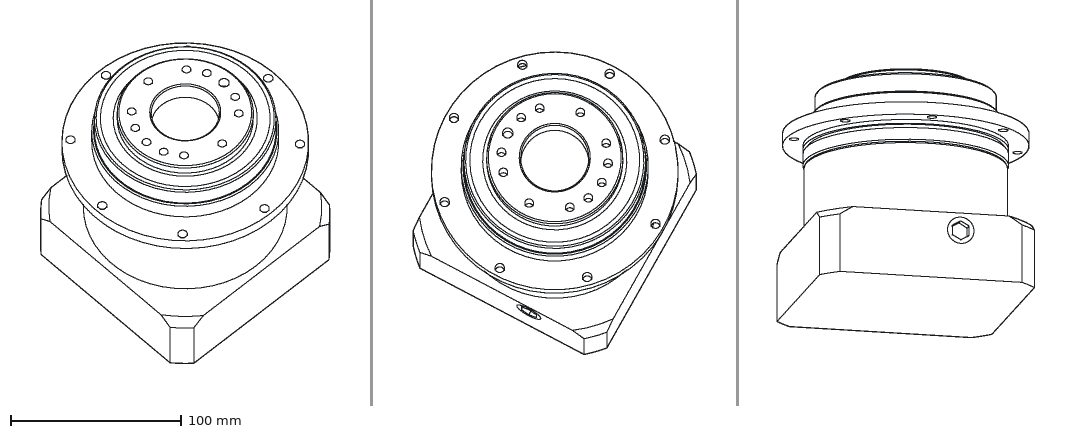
import cadquery as cq
import math

BASE_SIDE = 129.6
BASE_HEIGHT = 39.9
CORNER_RADIUS = 85.0
CORNER_BEVEL_DROP = 5.0
CORNER_BEVEL_TOP_RADIUS = 80.2

BODY_RADIUS = 59.9
BODY_TOP = 82.5
COLLAR_RADIUS = 60.5
COLLAR_BOTTOM = 84.4
RELIEF_RADIUS = 59.5
RING_GROOVE_RADIUS = 58.3
RING_GROOVE_BOTTOM = 91.5
RING_GROOVE_TOP = 94.1
FLANGE_RADIUS = 72.5
FLANGE_BOTTOM = 96.4
FLANGE_TOP = 104.0
PILOT_RADIUS = 55.0
PILOT_TOP = 115.4
PILOT_CHAMFER = 1.0
NOSE_RADIUS = 53.4
NOSE_TOP = 127.0
NOSE_CHAMFER = 1.0

BOSS_RADIUS = 40.0
BOSS_TOP = 133.0
BOSS_CHAMFER = 1.0
BORE_RADIUS = 20.0
BORE_DEPTH = 12.0
BORE_CHAMFER = 0.9

FLANGE_HOLE_COUNT = 8
FLANGE_HOLE_DIAMETER = 5.5
FLANGE_HOLE_CIRCLE_RADIUS = 67.4

OUTPUT_HOLE_CIRCLE_RADIUS = 31.5
SCREW_HOLE_ANGLES = (0, 45, 67.5, 112.5, 135, 180, 225, 247.5, 270, 292.5, 315)
SCREW_HOLE_DIAMETER = 5.1
SCREW_HOLE_DEPTH = 10.2
DRILL_TIP_ANGLE = 118.0
DOWEL_HOLE_ANGLE = 90.0
DOWEL_HOLE_DIAMETER = 6.1
DOWEL_HOLE_DEPTH = 7.2

SEAL_INNER_RADIUS = 42.3
SEAL_OUTER_RADIUS = 49.9
SEAL_DEPTH = 5.8

PLUG_RADIUS = 8.0
PLUG_LENGTH = 10.0
PLUG_Y = -18.0
PLUG_Z = 29.5
SOCKET_ACROSS_FLATS = 10.0
SOCKET_DEPTH = 5.0


def polar_point(radius, angle_degrees):
    angle = math.radians(angle_degrees)
    return (radius * math.cos(angle), radius * math.sin(angle))


def make_base():
    """Square block whose corners are turned and bevelled about the Z axis."""
    block = cq.Workplane("XY").rect(BASE_SIDE, BASE_SIDE).extrude(BASE_HEIGHT)
    turned_envelope = (
        cq.Workplane("XZ")
        .moveTo(0, 0)
        .lineTo(CORNER_RADIUS, 0)
        .lineTo(CORNER_RADIUS, BASE_HEIGHT - CORNER_BEVEL_DROP)
        .lineTo(CORNER_BEVEL_TOP_RADIUS, BASE_HEIGHT)
        .lineTo(0, BASE_HEIGHT)
        .close()
        .revolve(360, (0, 0), (0, 1))
    )
    return block.intersect(turned_envelope)


def make_turned_housing():
    """Revolved housing, flange, pilot, nose and bored boss above the base."""
    relief_middle = (BODY_TOP + COLLAR_BOTTOM) / 2
    bore_floor = BOSS_TOP - BORE_DEPTH
    profile = [
        (0, BASE_HEIGHT),
        (BODY_RADIUS, BASE_HEIGHT),
        (BODY_RADIUS, BODY_TOP),
        (RELIEF_RADIUS, relief_middle),
        (COLLAR_RADIUS, COLLAR_BOTTOM),
        (COLLAR_RADIUS, RING_GROOVE_BOTTOM),
        (RING_GROOVE_RADIUS, RING_GROOVE_BOTTOM),
        (RING_GROOVE_RADIUS, RING_GROOVE_TOP),
        (COLLAR_RADIUS, RING_GROOVE_TOP),
        (COLLAR_RADIUS, FLANGE_BOTTOM),
        (FLANGE_RADIUS, FLANGE_BOTTOM),
        (FLANGE_RADIUS, FLANGE_TOP),
        (PILOT_RADIUS, FLANGE_TOP),
        (PILOT_RADIUS, PILOT_TOP - PILOT_CHAMFER),
        (PILOT_RADIUS - PILOT_CHAMFER, PILOT_TOP),
        (NOSE_RADIUS, PILOT_TOP),
        (NOSE_RADIUS, NOSE_TOP - NOSE_CHAMFER),
        (NOSE_RADIUS - NOSE_CHAMFER, NOSE_TOP),
        (BOSS_RADIUS, NOSE_TOP),
        (BOSS_RADIUS, BOSS_TOP - BOSS_CHAMFER),
        (BOSS_RADIUS - BOSS_CHAMFER, BOSS_TOP),
        (BORE_RADIUS + BORE_CHAMFER, BOSS_TOP),
        (BORE_RADIUS, BOSS_TOP - BORE_CHAMFER),
        (BORE_RADIUS, bore_floor),
        (0, bore_floor),
    ]
    return cq.Workplane("XZ").polyline(profile).close().revolve(360, (0, 0), (0, 1))


def make_flange_holes():
    return (
        cq.Workplane("XY")
        .workplane(offset=FLANGE_BOTTOM)
        .polarArray(FLANGE_HOLE_CIRCLE_RADIUS, 0, 360, FLANGE_HOLE_COUNT)
        .circle(FLANGE_HOLE_DIAMETER / 2)
        .extrude(FLANGE_TOP - FLANGE_BOTTOM)
    )


def make_screw_holes():
    """Blind drilled holes with conical ends."""
    radius = SCREW_HOLE_DIAMETER / 2
    tip_height = radius / math.tan(math.radians(DRILL_TIP_ANGLE / 2))
    shoulder = BOSS_TOP - SCREW_HOLE_DEPTH
    drill = (
        cq.Workplane("XZ")
        .moveTo(0, shoulder - tip_height)
        .lineTo(radius, shoulder)
        .lineTo(radius, BOSS_TOP)
        .lineTo(0, BOSS_TOP)
        .close()
        .revolve(360, (0, 0), (0, 1))
    )
    centers = [polar_point(OUTPUT_HOLE_CIRCLE_RADIUS, angle) for angle in SCREW_HOLE_ANGLES]
    return cq.Workplane("XY").pushPoints(centers).eachpoint(lambda place: drill.val().moved(place))


def make_dowel_hole():
    return (
        cq.Workplane("XY")
        .workplane(offset=BOSS_TOP - DOWEL_HOLE_DEPTH)
        .pushPoints([polar_point(OUTPUT_HOLE_CIRCLE_RADIUS, DOWEL_HOLE_ANGLE)])
        .circle(DOWEL_HOLE_DIAMETER / 2)
        .extrude(DOWEL_HOLE_DEPTH)
    )


def make_seal_ring():
    """Flat ring lying flush with the nose face."""
    return (
        cq.Workplane("XY")
        .workplane(offset=NOSE_TOP - SEAL_DEPTH)
        .circle(SEAL_OUTER_RADIUS)
        .circle(SEAL_INNER_RADIUS)
        .extrude(SEAL_DEPTH)
    )


def plug_workplane():
    """Plane on the -X side of the base, centred on the plug, facing into the base."""
    return cq.Workplane("YZ", origin=(-BASE_SIDE / 2, PLUG_Y, PLUG_Z))


def make_plug_blank():
    return plug_workplane().circle(PLUG_RADIUS).extrude(PLUG_LENGTH)


def make_plug():
    """Round plug with a hexagon socket standing on one corner."""
    across_corners = SOCKET_ACROSS_FLATS / math.cos(math.radians(30))
    socket = (
        plug_workplane()
        .transformed(rotate=(0, 0, 90))
        .polygon(6, across_corners)
        .extrude(SOCKET_DEPTH)
    )
    return make_plug_blank().cut(socket)


def make_housing():
    """Base and turned housing in one piece, with its holes and recesses."""
    return (
        make_base()
        .union(make_turned_housing())
        .cut(make_flange_holes())
        .cut(make_screw_holes())
        .cut(make_dowel_hole())
        .cut(make_seal_ring())
        .cut(make_plug_blank())
    )


housing = make_housing()
seal_ring = make_seal_ring()
plug = make_plug()

result = cq.Compound.makeCompound([housing.val(), seal_ring.val(), plug.val()])